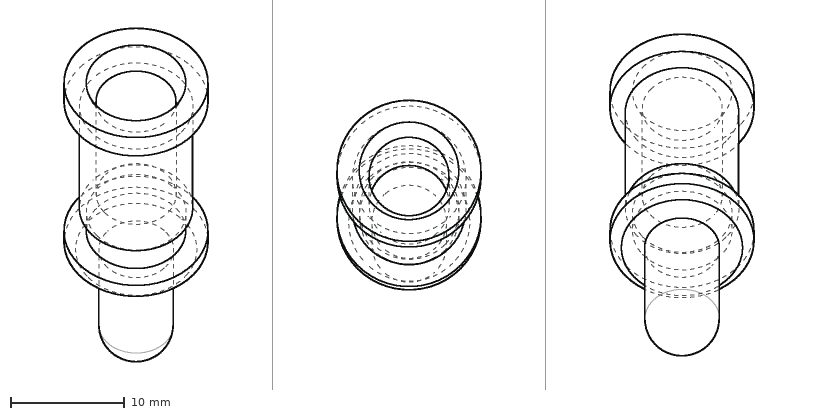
import cadquery as cq
import math

flange_radius = 12.7 / 2
body_radius = 10.0 / 2
neck_radius = 8.8 / 2
pin_radius = 6.6 / 2
bore_radius = 7.05 / 2
mouth_radius = neck_radius

total_height = 36.0
collar_bottom = 13.5
collar_top = 16.0
collar_chamfer = 1.0
neck_top = 18.5
body_chamfer = body_radius - neck_radius
head_thickness = 2.5
head_taper_height = 0.6

countersink_depth = 2.52
bore_depth = 15.0
drill_tip_angle = 118.0


def make_outer_body():
    """Revolve the stepped pin with its domed tip, collar, neck, body and head."""
    head_bottom = total_height - head_thickness
    arc_offset = pin_radius * math.sqrt(0.5)
    profile = (
        cq.Workplane("XZ")
        .moveTo(0, 0)
        .threePointArc((arc_offset, pin_radius - arc_offset), (pin_radius, pin_radius))
        .lineTo(pin_radius, collar_bottom)
        .lineTo(flange_radius - collar_chamfer, collar_bottom)
        .lineTo(flange_radius, collar_bottom + collar_chamfer)
        .lineTo(flange_radius, collar_top)
        .lineTo(neck_radius, collar_top)
        .lineTo(neck_radius, neck_top)
        .lineTo(body_radius, neck_top + body_chamfer)
        .lineTo(body_radius, head_bottom - head_taper_height)
        .lineTo(flange_radius, head_bottom)
        .lineTo(flange_radius, total_height)
        .lineTo(0, total_height)
        .close()
    )
    return profile.revolve(360, (0, 0, 0), (0, 1, 0))


def make_bore():
    """Revolve the blind bore with its tapered mouth and conical drill tip."""
    wall_bottom = total_height - bore_depth
    tip_height = bore_radius / math.tan(math.radians(drill_tip_angle / 2))
    profile = (
        cq.Workplane("XZ")
        .moveTo(0, wall_bottom - tip_height)
        .lineTo(bore_radius, wall_bottom)
        .lineTo(bore_radius, total_height - countersink_depth)
        .lineTo(mouth_radius, total_height)
        .lineTo(0, total_height)
        .close()
    )
    return profile.revolve(360, (0, 0, 0), (0, 1, 0))


result = make_outer_body().cut(make_bore())